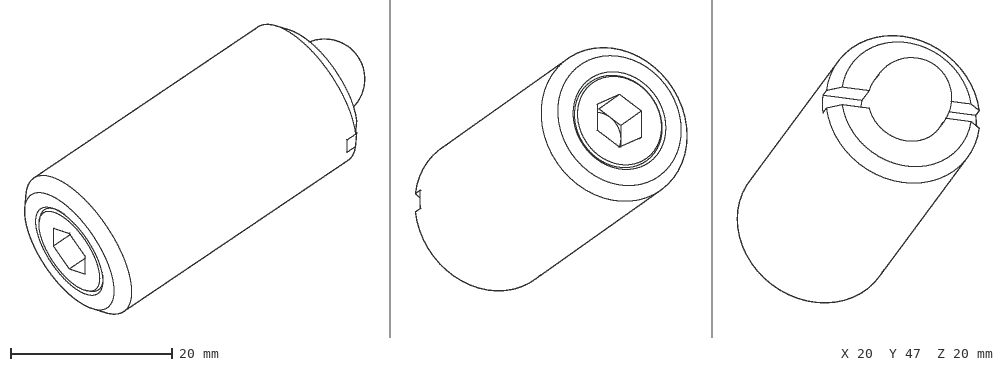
import cadquery as cq
import math


body_diameter = 20.0
body_length = 40.0
body_chamfer = 1.55

pin_diameter = 10.0
pin_projection = 7.0

slot_width = 2.4
slot_depth = 3.0

groove_outer_radius = 6.35
groove_root_radius = 6.0
groove_inner_radius = 5.75
groove_depth = groove_outer_radius - groove_root_radius

socket_across_flats = 6.0
socket_depth = 6.0
drill_point_angle = 118.0


def make_body():
    """Cylinder along Y, chamfered at both ends."""
    body = cq.Workplane("XZ").circle(body_diameter / 2).extrude(-body_length)
    return body.faces("<Y or >Y").chamfer(body_chamfer)


def cut_slot(body):
    """Slot along X right across the pin end."""
    slot = cq.Workplane("XY").box(body_diameter, 2 * slot_depth, slot_width)
    return body.cut(slot.translate((0, body_length, 0)))


def make_pin():
    """Pin with a hemispherical tip, rooted at the slot floor."""
    radius = pin_diameter / 2
    root_y = body_length - slot_depth
    tip_y = body_length + pin_projection
    dome_start_y = tip_y - radius
    arc_offset = radius * math.sqrt(0.5)
    profile = (
        cq.Workplane("XY")
        .moveTo(0, root_y)
        .lineTo(radius, root_y)
        .lineTo(radius, dome_start_y)
        .threePointArc((arc_offset, dome_start_y + arc_offset), (0, tip_y))
        .close()
    )
    return profile.revolve(360, (0, 0, 0), (0, 1, 0))


def make_groove():
    """Ring of triangular section that outlines the set screw."""
    section = cq.Workplane("XY").polyline([
        (groove_inner_radius, 0),
        (groove_root_radius, groove_depth),
        (groove_outer_radius, 0),
    ])
    return section.close().revolve(360, (0, 0, 0), (0, 1, 0))


def make_socket():
    """Hexagon with flats facing +X and -X, ending in a drill cone."""
    across_corners = socket_across_flats / math.cos(math.pi / 6)
    hexagon = (
        cq.Workplane("XZ")
        .transformed(rotate=(0, 0, 90))
        .polygon(6, across_corners)
        .extrude(-socket_depth)
    )
    cone_radius = socket_across_flats / 2
    cone_height = cone_radius / math.tan(math.radians(drill_point_angle / 2))
    cone = cq.Workplane("XY").polyline([
        (0, socket_depth),
        (cone_radius, socket_depth),
        (0, socket_depth + cone_height),
    ])
    return hexagon.union(cone.close().revolve(360, (0, 0, 0), (0, 1, 0)))


result = cut_slot(make_body()).union(make_pin()).cut(make_groove()).cut(make_socket())